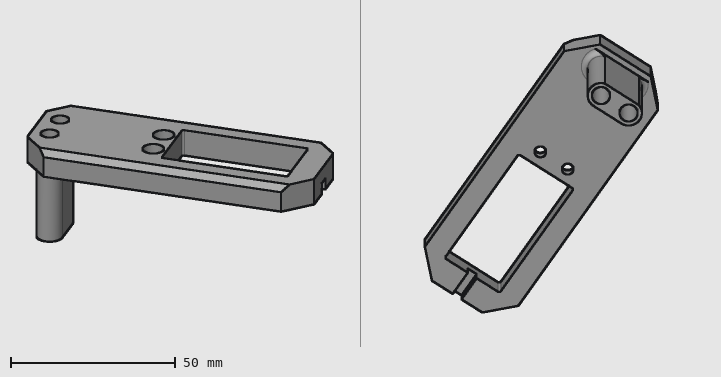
import cadquery as cq

plate_length = 91.85
plate_width = 34.3
plate_thickness = 8.6
corner_cut = 7.9
bevel = 2.0

window_start = 43.3
window_length = 40.3
window_width = 20.1
window_corner_radius = 0.6

channel_width = 3.2
channel_depth = 3.7

leg_height = 26.1
leg_end_radius = 4.0
leg_flat_x = 1.9
leg_fillet = 1.9

leg_hole_x = 5.8
leg_hole_spacing = 10.1
leg_hole_diameter = 5.5
screw_x = 38.9
screw_spacing = 10.0
screw_diameter = 3.5
counterbore_diameter = 6.5
counterbore_depth = 5.0


def make_plate():
    """Octagonal plate with its two long top edges bevelled."""
    blank = cq.Workplane("XY").box(
        plate_length, plate_width, plate_thickness, centered=(False, True, False)
    )
    blank = blank.edges("|Z").chamfer(corner_cut)
    return blank.faces(">Z").edges("|X").chamfer(bevel)


def add_leg(body):
    """Add a slot-shaped leg with a flared root, trimmed flat on its left side."""
    slot_length = leg_hole_spacing + 2 * leg_end_radius
    leg = (
        cq.Workplane("XY")
        .center(leg_hole_x, 0)
        .slot2D(slot_length, 2 * leg_end_radius, 90)
        .extrude(-leg_height)
    )
    slab = cq.Workplane("XY").box(
        plate_length, plate_width, plate_thickness, centered=(True, True, False)
    )
    reach = leg_end_radius + leg_fillet
    root_edges = cq.selectors.BoxSelector(
        (leg_hole_x - reach, -slot_length, -leg_fillet),
        (leg_hole_x + reach, slot_length, leg_fillet),
        boundingbox=True,
    )
    flared_leg = slab.union(leg).edges(root_edges).fillet(leg_fillet)
    keep = (
        cq.Workplane("XY")
        .box(plate_length, plate_width, leg_height, centered=(False, True, False))
        .translate((leg_flat_x, 0, -leg_height))
    )
    return body.union(flared_leg.intersect(keep))


def cut_window(body):
    """Cut the rounded window through the plate."""
    window = (
        cq.Workplane("XY")
        .box(window_length, window_width, plate_thickness, centered=(False, True, False))
        .edges("|Z")
        .fillet(window_corner_radius)
        .translate((window_start, 0, 0))
    )
    return body.cut(window)


def cut_channel(body):
    """Cut the channel from the window out through the right end."""
    start = window_start + window_length / 2
    channel = (
        cq.Workplane("XY")
        .box(plate_length - start, channel_width, channel_depth, centered=(False, True, False))
        .translate((start, 0, 0))
    )
    return body.cut(channel)


def hole_pair(x, spacing):
    """Two hole centres, mirrored about Y = 0."""
    return [(x, -spacing / 2), (x, spacing / 2)]


def cut_holes(body):
    """Drill the leg holes and the counterbored screw holes from the top face."""
    top = cq.Workplane("XY", origin=(0, 0, plate_thickness))
    leg_holes = (
        top.pushPoints(hole_pair(leg_hole_x, leg_hole_spacing))
        .circle(leg_hole_diameter / 2)
        .extrude(-(plate_thickness + leg_height))
    )
    screws = top.pushPoints(hole_pair(screw_x, screw_spacing))
    screw_holes = screws.circle(screw_diameter / 2).extrude(-plate_thickness)
    counterbores = screws.circle(counterbore_diameter / 2).extrude(-counterbore_depth)
    return body.cut(leg_holes).cut(screw_holes).cut(counterbores)


result = add_leg(make_plate())
result = cut_window(result)
result = cut_channel(result)
result = cut_holes(result)